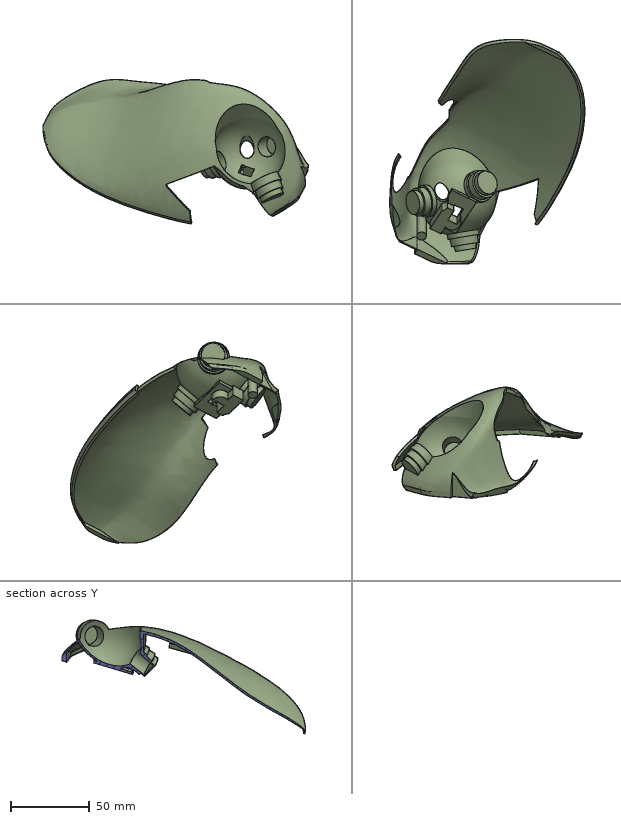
import cadquery as cq
import math

loft = cq.occ_impl.shapes.loft

LENGTH = 175.3
WIDTH = 100.44
HEIGHT = 56.96

SECTIONS = [
    (0.0, 52.0, 66.0, 59.0, 3.3, 3.0, 0),
    (2.6, 45.0, 75.5, 61.0, 5.8, 3.2, 0),
    (8.0, 35.5, 84.7, 63.0, 9.3, 4.0, 1),
    (16.0, 26.2, 92.6, 66.0, 12.8, 6.5, 1),
    (34.0, 14.0, 98.8, 69.0, 19.5, 12.3, 1),
    (56.0, 5.7, 97.4, 70.0, 31.0, 18.0, 1),
    (76.0, 1.9, 95.8, 72.5, 44.7, 22.5, 1),
    (92.0, 0.5, 95.5, 74.0, 53.2, 22.0, 1),
    (108.0, 0.0, 97.5, 74.5, 56.3, 19.0, 1),
    (123.0, 1.0, 100.35, 76.0, 55.3, 16.0, 1),
    (138.0, 5.0, 97.6, 76.5, 49.9, 9.0, 1),
    (152.0, 11.5, 90.8, 74.0, 41.3, 5.0, 0),
    (163.7, 22.3, 82.6, 68.0, 29.3, 4.0, 0),
    (171.5, 35.5, 75.0, 60.0, 17.2, 3.5, 0),
    (LENGTH, 46.0, 61.0, 54.0, 3.8, 3.0, 0),
]
SIDE_EXPONENT = 1.6
FOOT_EXPONENT = 0.75
SKIN_DROP = 2.6
WALL = 2.0
RIM_HEIGHT = 3.0
RIM_INSET = 1.2
RIM_CLEARANCE = 0.3
FAR_LEAN = 0.5
EDGE_REACH = 4.0
CAVITY_BASE = -1.0
CAVITY_MIN_EDGE = 1.0
FLANK_STEPS = (0.06, 0.2, 0.4, 0.7)
FAR_STEPS = ((0.3, 0.35), (0.65, 0.83))
TOP_PARAMETERS = (0.0, 0.1, 0.22, 0.36, 0.52, 0.68, 0.8, 0.9, 1.0)

WINDOW_NEAR_Y = -10.0
WINDOW_FAR_Y = 46.0
WINDOW_SLOPE = 0.6
WINDOW_EDGE = [(98.3, 11.0, 18.8), (98.0, 10.0, 20.6), (125.6, 26.0, 31.8), (134.6, 24.0, 27.2),
               (146.0, 24.0, 22.0), (153.0, 24.0, 18.0), (165.5, 24.0, 1.0)]
TOOTH = [(118.3, 2.0, 3.0), (116.8, 4.0, 9.0)]
WINDOW_BOTTOM = -60.0

THUMB_GAP = [(79.9, 95.4), (84.5, 87.5), (89.4, 82.2), (87.1, 76.9), (98.3, 77.3), (105.6, 73.2)]
RIDGE_CUT = [(113.5, 74.3), (124.7, 77.3), (136.6, 77.8), (145.2, 78.2)]
WING_CUT = [(145.9, 80.2), (142.6, 82.2), (132.0, 87.5), (126.7, 93.4), (123.2, WIDTH)]
GAP_OUTSIDE = WIDTH + 5.0

PORT_NOTCH_X = 172.2
PORT_NOTCH_Y = (59.5, 76.0)

BALL_CENTER = (141.9, 46.9, 32.0)
SOCKET_RADIUS = 23.0
SOCKET_WALL = 2.0
MOUTH_RADIUS = 21.9

FRONT_BARREL_ANGLE = 320
BARREL_ANGLES = (74, 192, FRONT_BARREL_ANGLE)
BARREL_DIP = 32
BARREL_START = 20.0
BARREL_FLANGE = (20.4, 26.0)
BARREL_BODY = (18.0, 31.0)
BARREL_CAP = (15.2, 34.4)
BARREL_BORE = (12.8, 33.4)

DRAIN_CENTER = (134.6, 62.4)
DRAIN_DIAMETER = 9.0
SENSOR_CENTER = (138.6, 49.9)
SENSOR_SIZE = (8.5, 6.6)

PLATE_X = (125.5, 152.5)
PLATE_Y = (42.0, 60.0)
PLATE_Z = (6.2, 8.6)
BLOCK_X = (135.0, 154.0)
BLOCK_Y = (52.0, 60.0)
PILLAR_CENTER = (143.2, 50.0)
PILLAR_DIAMETER = 11.2
SCREW_BOSS_CENTER = (161.5, 62.0)
SCREW_BOSS_DIAMETER = 6.0


def section_wire(x, flank, far, ridge_y, ridge_z, edge_z, far_inset, base_z=0.0):
    """Closed YZ outline: base, foot band, curved top from flank to far edge, far side."""
    foot_z = min(RIM_HEIGHT, ridge_z - RIM_CLEARANCE)
    top = [(flank, foot_z)]
    for s in FLANK_STEPS:
        climb = (1 - (1 - s) ** SIDE_EXPONENT) ** FOOT_EXPONENT
        top.append((flank + s * (ridge_y - flank), foot_z + climb * (ridge_z - foot_z)))
    top.append((ridge_y, ridge_z))
    for t, fall in FAR_STEPS:
        top.append((ridge_y + t * (far - ridge_y), ridge_z + fall * (edge_z - ridge_z)))
    top.append((far, edge_z))
    points = [cq.Vector(x, y, z) for y, z in top]
    base_start = cq.Vector(x, flank + RIM_INSET, base_z)
    base_end = cq.Vector(x, far - far_inset, base_z)
    edges = [
        cq.Edge.makeLine(base_start, points[0]),
        cq.Edge.makeSpline(points, parameters=TOP_PARAMETERS),
        cq.Edge.makeLine(points[-1], base_end),
        cq.Edge.makeLine(base_end, base_start),
    ]
    return cq.Wire.assembleEdges(edges)


def smooth_loft(wires):
    """Solid through the section wires, with cubic surfaces between them."""
    return cq.Workplane(obj=loft(wires, cap=True, parametrization="chordal", degree=3).Solids()[0])


def make_envelope():
    """Solid shape of the outer surface."""
    wires = []
    for x, flank, far, ridge_y, ridge_z, edge_z, _ in SECTIONS:
        wires.append(section_wire(x, flank, far, ridge_y, ridge_z, edge_z, FAR_LEAN * edge_z))
    return smooth_loft(wires)


def make_cavity():
    """Space under the skin, breaking out of the far edge where that edge is open."""
    wires = []
    for x, flank, far, ridge_y, ridge_z, edge_z, is_open in SECTIONS[1:-1]:
        far += EDGE_REACH if is_open else -WALL
        lean = 0 if is_open else FAR_LEAN * edge_z
        edge_z = max(edge_z - SKIN_DROP, CAVITY_MIN_EDGE)
        wires.append(section_wire(x, flank + WALL, far, ridge_y, ridge_z - SKIN_DROP, edge_z, lean, CAVITY_BASE))
    return smooth_loft(wires)


def box(x_range, y_range, z_range):
    """Upright block between the given limits."""
    size = [limits[1] - limits[0] for limits in (x_range, y_range, z_range)]
    return cq.Workplane("XY").box(*size, centered=False).translate((x_range[0], y_range[0], z_range[0]))


def upright_cylinder(center, diameter, z_range):
    """Vertical cylinder between two heights."""
    base = cq.Workplane("XY", origin=(0, 0, z_range[0])).center(*center)
    return base.circle(diameter / 2).extrude(z_range[1] - z_range[0])


def ball(radius):
    """Sphere about the ball centre."""
    return cq.Workplane("XY").sphere(radius).translate(BALL_CENTER)


def cut_all(body, tools):
    """Body with every tool removed in one operation."""
    return cq.Workplane(obj=body.val().cut(*[tool.val() for tool in tools]))


def join_all(body, others):
    """Body joined with all the others in one operation."""
    return cq.Workplane(obj=body.val().fuse(*[other.val() for other in others]))


def make_window():
    """Side opening below the socket, its upper edge cut square to the skin."""
    bottom = [(x, 0.0, WINDOW_BOTTOM) for x in (WINDOW_EDGE[-1][0], TOOTH[0][0])]
    outline = WINDOW_EDGE + bottom + TOOTH
    wires = []
    for y in (WINDOW_NEAR_Y, WINDOW_FAR_Y):
        points = [cq.Vector(x, y, z + WINDOW_SLOPE * (edge_y - y)) for x, edge_y, z in outline]
        wires.append(cq.Wire.makePolygon(points, close=True))
    return cq.Workplane(obj=cq.Solid.makeLoft(wires, True))


def make_thumb_gap():
    """Opening between palm corner, ridge and wing."""
    outline = cq.Workplane("XY").moveTo(THUMB_GAP[0][0], GAP_OUTSIDE)
    for point in THUMB_GAP:
        outline = outline.lineTo(*point)
    outline = outline.spline(RIDGE_CUT, includeCurrent=True)
    outline = outline.spline(WING_CUT, includeCurrent=True)
    return outline.lineTo(WING_CUT[-1][0], GAP_OUTSIDE).close().extrude(HEIGHT * 2)


def make_socket():
    """Solid ball socket with a collar that carries it up through the skin."""
    outer_radius = SOCKET_RADIUS + SOCKET_WALL
    collar = upright_cylinder(BALL_CENTER[:2], 2 * outer_radius, (BALL_CENTER[2], HEIGHT + 1))
    return ball(outer_radius).union(collar)


def make_mouth():
    """Vertical bore above the ball centre that opens the collar and the skin."""
    return upright_cylinder(BALL_CENTER[:2], 2 * MOUTH_RADIUS, (BALL_CENTER[2], HEIGHT * 2))


def barrel_plane(angle):
    """Plane at the ball centre whose normal is the barrel axis."""
    turn = math.radians(angle)
    dip = math.radians(BARREL_DIP)
    axis = (math.cos(dip) * math.cos(turn), math.cos(dip) * math.sin(turn), -math.sin(dip))
    return cq.Plane(origin=BALL_CENTER, normal=axis)


def make_barrel(angle):
    """Stepped barrel: flange in the socket wall, body and narrower cap."""
    outline = cq.Workplane("XZ").moveTo(0, BARREL_START)
    start = BARREL_START
    for diameter, end in (BARREL_FLANGE, BARREL_BODY, BARREL_CAP):
        outline = outline.lineTo(diameter / 2, start).lineTo(diameter / 2, end)
        start = end
    barrel = outline.lineTo(0, start).close().revolve(360, (0, 0, 0), (0, 1, 0))
    return cq.Workplane(obj=barrel.val().located(barrel_plane(angle).location))


def make_barrel_bore(angle):
    """Blind bore of one barrel, open toward the ball."""
    diameter, end = BARREL_BORE
    return cq.Workplane(barrel_plane(angle)).circle(diameter / 2).extrude(end)


def make_sensor_mount():
    """Plate, block and pillar below the socket."""
    mount = box(PLATE_X, PLATE_Y, PLATE_Z)
    mount = mount.union(box(BLOCK_X, BLOCK_Y, (0, PLATE_Z[1])))
    return mount.union(upright_cylinder(PILLAR_CENTER, PILLAR_DIAMETER, (0, PLATE_Z[1])))


def make_sensor_hole():
    """Rectangular hole through the sensor mount and the bottom of the socket."""
    (x, y), (size_x, size_y) = SENSOR_CENTER, SENSOR_SIZE
    return box((x - size_x / 2, x + size_x / 2), (y - size_y / 2, y + size_y / 2), (-1, BALL_CENTER[2]))


def make_core():
    """Socket, barrels, boss and sensor mount, not yet bored and not trimmed to the skin."""
    barrels = [make_barrel(angle) for angle in BARREL_ANGLES]
    boss = upright_cylinder(SCREW_BOSS_CENTER, SCREW_BOSS_DIAMETER, (0, HEIGHT))
    return join_all(make_socket(), barrels + [boss, make_sensor_mount()])


def make_bores():
    """Everything removed from skin and core alike."""
    drain = upright_cylinder(DRAIN_CENTER, DRAIN_DIAMETER, (-1, BALL_CENTER[2]))
    notch = box((PORT_NOTCH_X, LENGTH + 1), PORT_NOTCH_Y, (-1, HEIGHT))
    barrel_bores = [make_barrel_bore(angle) for angle in BARREL_ANGLES]
    return [ball(SOCKET_RADIUS), make_mouth(), drain, make_sensor_hole(), notch] + barrel_bores


def make_part():
    """Envelope with the protruding front barrel, hollowed and opened around the core, then bored."""
    core = make_core()
    body = join_all(make_envelope(), [make_barrel(FRONT_BARREL_ANGLE)])
    hollows = [make_cavity(), make_window(), make_thumb_gap()]
    shell = cut_all(body, [cut_all(hollow, [core]) for hollow in hollows])
    return cut_all(shell, make_bores())


result = cq.Workplane(obj=make_part().val().Solids()[0])